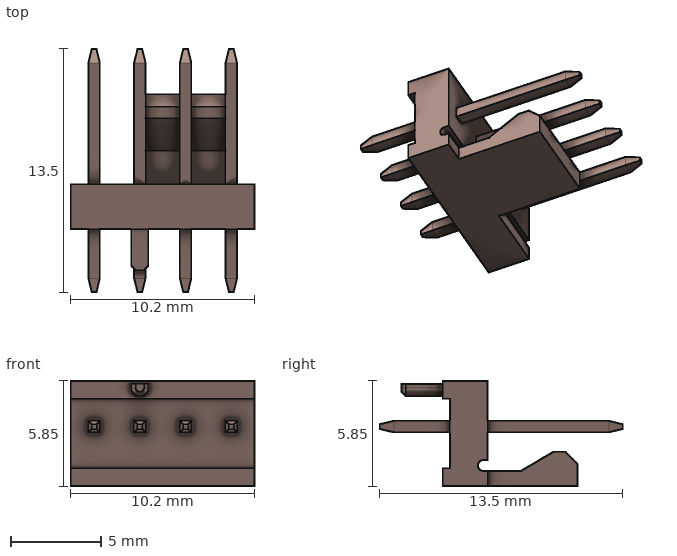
import cadquery as cq


housing_width = 10.2
housing_depth = 2.5
housing_height = 5.85
lip_height = 1.0
recess_depth = 0.4

pin_count = 4
pin_pitch = 2.54
pin_side = 0.65
pin_axis_height = 3.31
pin_front_reach = 3.5
pin_length = 13.5
tip_length = 0.78
tip_side = 0.27

ramp_length = 5.0
ramp_pin_index = 2
ramp_width = 2 * pin_pitch
ramp_base_height = 0.85
ramp_peak_height = 1.92
ramp_slope_start = 1.85
ramp_slope_end = 3.66
ramp_end_chamfer = 0.69

notch_height = 0.6
notch_depth = 0.53

peg_pin_index = 1
peg_length = 2.28
peg_width = 0.96
peg_flat_height = 0.2
peg_top_gap = 0.18
peg_chamfer = 0.24


def pin_x(index):
    """X of a pin's axis, counted from the -X end of the row."""
    return (index - (pin_count - 1) / 2) * pin_pitch


def extrude_along_x(profile, width, center_x=0):
    """Extrude a YZ profile by a width centred on center_x."""
    return profile.extrude(width / 2, both=True).translate((center_x, 0, 0))


def make_housing():
    """Block with a front recess between two lips and a relief notch in its back."""
    recess_height = housing_height - 2 * lip_height
    block = cq.Workplane("XY").box(
        housing_width, housing_depth, housing_height, centered=(True, False, False)
    )
    recess = (
        cq.Workplane("XY")
        .box(housing_width, recess_depth, recess_height, centered=(True, False, False))
        .translate((0, 0, lip_height))
    )
    notch_round_y = housing_depth - notch_depth + notch_height / 2
    notch_top = ramp_base_height + notch_height
    notch_profile = (
        cq.Workplane("YZ")
        .moveTo(housing_depth, ramp_base_height)
        .lineTo(notch_round_y, ramp_base_height)
        .threePointArc(
            (housing_depth - notch_depth, ramp_base_height + notch_height / 2),
            (notch_round_y, notch_top),
        )
        .lineTo(housing_depth, notch_top)
        .close()
    )
    return block.cut(recess).cut(extrude_along_x(notch_profile, housing_width))


def make_ramp():
    """Locking ramp behind the housing, centred on the third pin."""
    profile = (
        cq.Workplane("YZ", origin=(0, housing_depth, 0))
        .polyline([
            (0, 0),
            (ramp_length, 0),
            (ramp_length, ramp_peak_height - ramp_end_chamfer),
            (ramp_length - ramp_end_chamfer, ramp_peak_height),
            (ramp_slope_end, ramp_peak_height),
            (ramp_slope_start, ramp_base_height),
            (0, ramp_base_height),
        ])
        .close()
    )
    return extrude_along_x(profile, ramp_width, pin_x(ramp_pin_index))


def make_pin(x):
    """Square pin through the housing, tapered at both ends."""
    shaft_length = pin_length - 2 * tip_length
    shaft = cq.Workplane("XY").box(pin_side, pin_side, shaft_length)
    tip = (
        cq.Workplane("XY", origin=(0, 0, shaft_length / 2))
        .rect(pin_side, pin_side)
        .workplane(offset=tip_length)
        .rect(tip_side, tip_side)
        .loft()
    )
    upright = shaft.union(tip).union(tip.mirror("XY"))
    center_y = pin_length / 2 - pin_front_reach
    return upright.rotate((0, 0, 0), (1, 0, 0), 90).translate((x, center_y, pin_axis_height))


def make_peg():
    """Flat-topped, round-bottomed peg on the upper lip, above the second pin."""
    radius = peg_width / 2
    peg = (
        cq.Workplane("XZ", origin=(pin_x(peg_pin_index), 0, housing_height - peg_top_gap))
        .moveTo(-radius, 0)
        .lineTo(-radius, -peg_flat_height)
        .threePointArc((0, -peg_flat_height - radius), (radius, -peg_flat_height))
        .lineTo(radius, 0)
        .close()
        .extrude(peg_length)
    )
    top_edge = cq.selectors.DirectionMinMaxSelector(cq.Vector(0, 0, 1), True)
    return peg.faces("<Y").edges(cq.selectors.InverseSelector(top_edge)).chamfer(peg_chamfer)


result = make_housing().union(make_ramp()).union(make_peg())
for pin_index in range(pin_count):
    result = result.union(make_pin(pin_x(pin_index)))